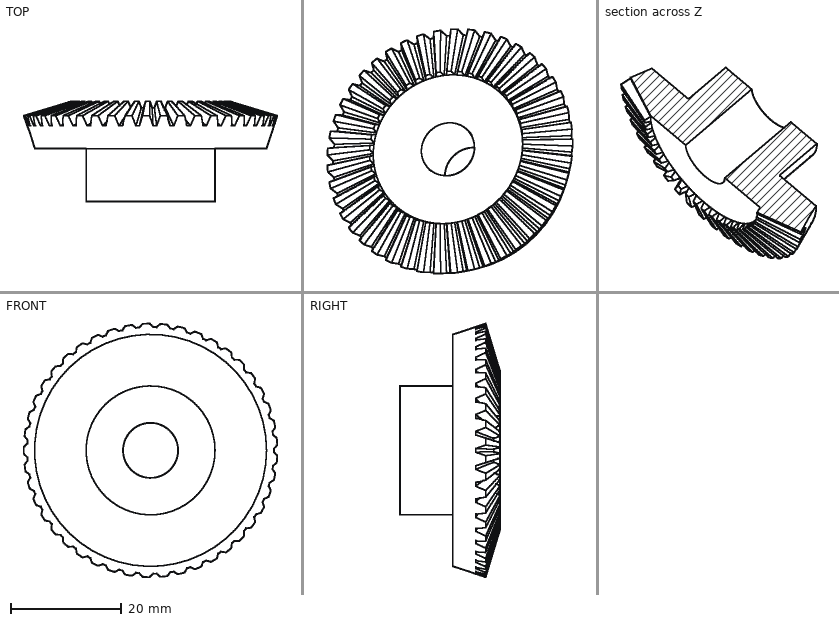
import cadquery as cq

tooth_count = 45
outer_radius = 23.05
back_radius = 21.05
hub_radius = 11.7
bore_radius = 5.0
total_length = 18.2
hub_length = 9.6
crown_height = 15.6
root_height = 13.75
tooth_inner_radius = 14.4
gap_tip_width = 1.95
gap_floor_width = 0.65

cut_overrun = 0.9
tip_clearance = 0.45

hub_end = -total_length / 2
disc_back = hub_end + hub_length
crown_y = hub_end + crown_height
root_y = hub_end + root_height
front_y = total_length / 2

tip_slope = (front_y - crown_y) / (outer_radius - tooth_inner_radius)
apex_y = crown_y + tip_slope * outer_radius
back_slope = (outer_radius - back_radius) / (crown_y - disc_back)
root_radius = outer_radius - back_slope * (crown_y - root_y)
root_slope = (apex_y - root_y) / root_radius

root_inner_radius = (tooth_inner_radius - back_slope * (front_y - apex_y)) / (1 + back_slope * root_slope)
root_inner_y = apex_y - root_slope * root_inner_radius


def gear_blank():
    profile = [
        (bore_radius, hub_end),
        (hub_radius, hub_end),
        (hub_radius, disc_back),
        (back_radius, disc_back),
        (outer_radius, crown_y),
        (tooth_inner_radius, front_y),
        (root_inner_radius, root_inner_y),
        (bore_radius, root_inner_y),
    ]
    return cq.Workplane("XY").polyline(profile).close().revolve(360, (0, 0, 0), (0, 1, 0))


def gap_section(radius, clearance):
    """Trapezoid across a tooth gap at the given radius, carried past the tips by the clearance."""
    floor_y = apex_y - root_slope * radius
    tip_y = apex_y - tip_slope * radius
    top_y = tip_y + clearance
    floor_half = gap_floor_width / 2 * radius / root_radius
    tip_half = gap_tip_width / 2 * radius / outer_radius
    top_half = floor_half + (tip_half - floor_half) * (top_y - floor_y) / (tip_y - floor_y)
    corners = [(floor_half, floor_y), (top_half, top_y), (-top_half, top_y), (-floor_half, floor_y)]
    return cq.Wire.makePolygon([cq.Vector(radius, y, z) for z, y in corners], close=True)


def gap_cutter():
    """One straight-sided gap along +X that narrows towards the apex."""
    start_radius = outer_radius + cut_overrun
    end_radius = root_inner_radius - cut_overrun
    sections = [
        gap_section(radius, tip_clearance * radius / outer_radius)
        for radius in (start_radius, end_radius)
    ]
    return cq.Solid.makeLoft(sections, ruled=True)


pitch_angle = 360 / tooth_count
cutter = gap_cutter()
axis_start = cq.Vector(0, 0, 0)
axis_end = cq.Vector(0, 1, 0)
gaps = [
    cutter.rotate(axis_start, axis_end, 180 + (index + 0.5) * pitch_angle)
    for index in range(tooth_count)
]
result = cq.Workplane("XY").newObject([gear_blank().val().cut(*gaps)])